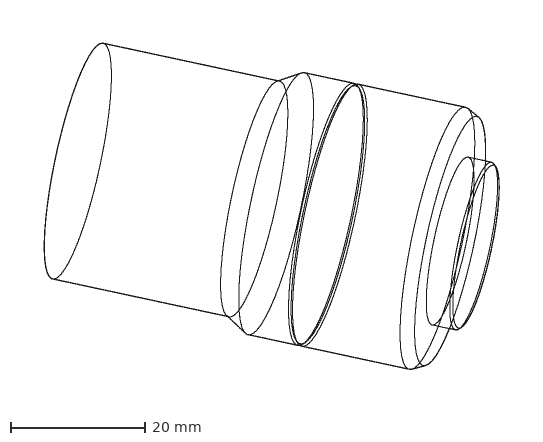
import cadquery as cq

total_length = 61.8
barrel_end = 27.4
flare_end = 30.8
groove_start = 38.5
groove_width = 0.6
shoulder = 57.8

barrel_diameter = 35.95
collar_diameter = 40.0
boss_diameter = 25.6

groove_depth = 0.3
collar_chamfer_length = 2.0
collar_chamfer_height = 1.0
boss_chamfer = 0.4

barrel_radius = barrel_diameter / 2
collar_radius = collar_diameter / 2
boss_radius = boss_diameter / 2
groove_end = groove_start + groove_width
groove_middle = groove_start + groove_width / 2
groove_radius = collar_radius - groove_depth

profile = [
    (0, 0),
    (0, barrel_radius),
    (barrel_end, barrel_radius),
    (flare_end, collar_radius),
    (groove_start, collar_radius),
    (groove_middle, groove_radius),
    (groove_end, collar_radius),
    (shoulder - collar_chamfer_length, collar_radius),
    (shoulder, collar_radius - collar_chamfer_height),
    (shoulder, boss_radius),
    (total_length - boss_chamfer, boss_radius),
    (total_length, boss_radius - boss_chamfer),
    (total_length, 0),
]

result = cq.Workplane("XY").polyline(profile).close().revolve(360, (0, 0, 0), (1, 0, 0))